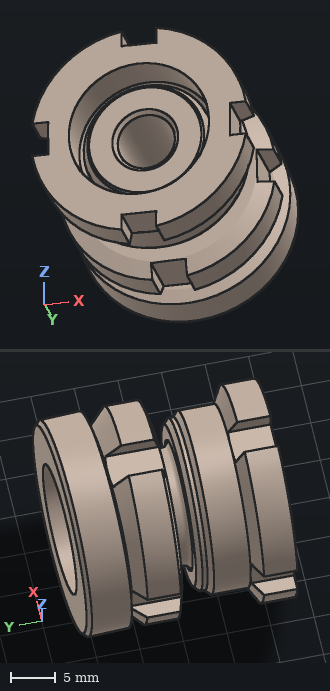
import cadquery as cq
import math


CUTTER_REACH = 20.0

SLOT_COUNT = 4
SLOT_WIDTH = 4.0
SLOT_FLOOR_RADIUS = 10.5

THREAD_RADIUS = 7.48

BASE_FLANGE_RADIUS = 12.5
BASE_FLANGE_EDGE = 3.85
BASE_FLANGE_TOP = 5.0
BASE_BODY_RADIUS = 10.52
BASE_CHAMFER = 0.62
BASE_STEP_RADIUS = BASE_BODY_RADIUS - BASE_CHAMFER
BASE_BODY_TOP = 9.2
BASE_TOP = 11.0
RECESS_RADIUS = 8.1
RECESS_DEPTH = 5.0

STEM_END = 3.0
STEM_END_CHAMFER = 0.25
NECK_RADIUS = 6.74
NECK_FILLET = 0.44
BLEND_ANGLE = 45.0
LOWER_NECK_TOP = 3.6
UPPER_NECK_BOTTOM = 11.58
BORE_RADIUS = 3.3
BORE_CHAMFER = 0.5

COLLAR_BOTTOM = 12.85
COLLAR_RADIUS = 12.5
COLLAR_FACE_RADIUS = 10.5
COLLAR_LOWER_EDGE = 13.43
COLLAR_UPPER_EDGE = 17.23
BLANK_ALLOWANCE = 1.5
COLLAR_TURN = -1.35

SEAT_HEIGHT = 19.18
TILT_ABOUT_Z = 2.4
TILT_ABOUT_X = -0.3

DISC_RADIUS = 12.5
DISC_FACE_RADIUS = 10.9
DISC_LOWER_EDGE = 0.37
DISC_THICKNESS = 5.5
DISC_CHAMFER = 0.5
DISC_HOLE_RADIUS = 7.5
DISC_SLIDE_X = 0.13
DISC_SLIDE_Z = -0.25


def turned(outline):
    return outline.close().revolve(360, (0, 0, 0), (0, 1, 0))


def place_on_seat(body, slide_x=0.0, slide_z=0.0):
    """Move a body standing on the XZ plane onto the tilted seat, slid along the seat's plane."""
    slid = body.translate((slide_x, 0, slide_z))
    tilted = slid.rotate((0, 0, 0), (0, 0, 1), TILT_ABOUT_Z).rotate((0, 0, 0), (1, 0, 0), TILT_ABOUT_X)
    return tilted.translate((0, SEAT_HEIGHT, 0))


def cut_slots(body, bottom, top):
    """Cut flat-floored slots into the rim between two heights."""
    cutter = cq.Workplane("XY").box(
        SLOT_WIDTH, top - bottom, CUTTER_REACH, centered=(True, False, False)
    ).translate((0, bottom, SLOT_FLOOR_RADIUS))
    for index in range(SLOT_COUNT):
        body = body.cut(cutter.rotate((0, 0, 0), (0, 1, 0), index * 360 / SLOT_COUNT))
    return body


def make_base():
    outline = (
        cq.Workplane("XY")
        .moveTo(RECESS_RADIUS, 0)
        .lineTo(BASE_FLANGE_RADIUS, 0)
        .lineTo(BASE_FLANGE_RADIUS, BASE_FLANGE_EDGE)
        .lineTo(BASE_BODY_RADIUS, BASE_FLANGE_TOP)
        .lineTo(BASE_BODY_RADIUS, BASE_BODY_TOP)
        .lineTo(BASE_STEP_RADIUS, BASE_BODY_TOP + BASE_CHAMFER)
        .lineTo(BASE_STEP_RADIUS, BASE_TOP - BASE_CHAMFER)
        .lineTo(BASE_STEP_RADIUS - BASE_CHAMFER, BASE_TOP)
        .lineTo(THREAD_RADIUS, BASE_TOP)
        .lineTo(THREAD_RADIUS, RECESS_DEPTH + RECESS_RADIUS - THREAD_RADIUS)
        .lineTo(RECESS_RADIUS, RECESS_DEPTH)
    )
    return cut_slots(turned(outline), 0, BASE_FLANGE_TOP)


def make_collar():
    arc_length = NECK_FILLET * math.sin(math.radians(BLEND_ANGLE))
    arc_rise = NECK_FILLET * (1 - math.cos(math.radians(BLEND_ANGLE)))
    arc_end_radius = NECK_RADIUS + arc_rise
    cone_height = (THREAD_RADIUS - arc_end_radius) / math.tan(math.radians(BLEND_ANGLE))
    thread_start = LOWER_NECK_TOP + arc_length + cone_height
    thread_end = UPPER_NECK_BOTTOM - arc_length - cone_height

    blank_top = SEAT_HEIGHT + BLANK_ALLOWANCE
    blank_top_radius = COLLAR_RADIUS - (blank_top - COLLAR_UPPER_EDGE)

    outline = (
        cq.Workplane("XY")
        .moveTo(BORE_RADIUS + BORE_CHAMFER, STEM_END)
        .lineTo(NECK_RADIUS - STEM_END_CHAMFER, STEM_END)
        .lineTo(NECK_RADIUS, STEM_END + STEM_END_CHAMFER)
        .lineTo(NECK_RADIUS, LOWER_NECK_TOP)
        .radiusArc((arc_end_radius, LOWER_NECK_TOP + arc_length), NECK_FILLET)
        .lineTo(THREAD_RADIUS, thread_start)
        .lineTo(THREAD_RADIUS, thread_end)
        .lineTo(arc_end_radius, UPPER_NECK_BOTTOM - arc_length)
        .radiusArc((NECK_RADIUS, UPPER_NECK_BOTTOM), NECK_FILLET)
        .lineTo(NECK_RADIUS, COLLAR_BOTTOM - NECK_FILLET)
        .radiusArc((NECK_RADIUS + NECK_FILLET, COLLAR_BOTTOM), NECK_FILLET)
        .lineTo(COLLAR_FACE_RADIUS, COLLAR_BOTTOM)
        .lineTo(COLLAR_RADIUS, COLLAR_LOWER_EDGE)
        .lineTo(COLLAR_RADIUS, COLLAR_UPPER_EDGE)
        .lineTo(blank_top_radius, blank_top)
        .lineTo(BORE_RADIUS, blank_top)
        .lineTo(BORE_RADIUS, STEM_END + BORE_CHAMFER)
    )
    body = cut_slots(turned(outline), COLLAR_BOTTOM, blank_top)
    body = body.rotate((0, 0, 0), (0, 1, 0), COLLAR_TURN)
    above_seat = cq.Workplane("XY").box(
        2 * CUTTER_REACH, CUTTER_REACH, 2 * CUTTER_REACH, centered=(True, False, True)
    )
    return body.cut(place_on_seat(above_seat))


def make_disc():
    outline = (
        cq.Workplane("XY")
        .moveTo(DISC_HOLE_RADIUS, 0)
        .lineTo(DISC_FACE_RADIUS, 0)
        .lineTo(DISC_RADIUS, DISC_LOWER_EDGE)
        .lineTo(DISC_RADIUS, DISC_THICKNESS - DISC_CHAMFER)
        .lineTo(DISC_RADIUS - DISC_CHAMFER, DISC_THICKNESS)
        .lineTo(DISC_HOLE_RADIUS, DISC_THICKNESS)
    )
    return place_on_seat(turned(outline), DISC_SLIDE_X, DISC_SLIDE_Z)


base = make_base()
collar = make_collar()
disc = make_disc()

result = cq.Compound.makeCompound([base.val(), collar.val(), disc.val()])